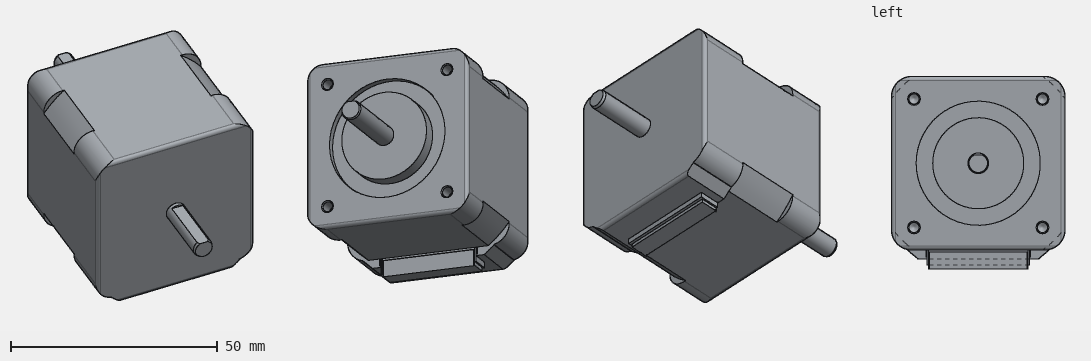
import cadquery as cq
import math


SHAFT_LENGTH = 80.0
SHAFT_DIAMETER = 5.0
FRONT_SHAFT_LENGTH = 24.0
FLAT_LENGTH = 15.0
FLAT_DEPTH = 0.5
FRONT_TIP_CHAMFER = 0.5
REAR_TIP_CHAMFER = 0.7
TIP_CHAMFER_RADIAL = 0.2

HOUSING_LENGTH = 40.0
HOUSING_WIDTH = 42.0
FRONT_CAP_LENGTH = 9.9
STATOR_LENGTH = 17.0
CAP_CORNER_RADIUS = 5.0
END_FILLET = 1.0
STATOR_CORNER_INSET = 5.4

BOSS_DIAMETER = 22.0
BOSS_HEIGHT = 2.0
RECESS_DIAMETER = 30.0
RECESS_DEPTH = 2.0

HOLE_SPACING = 31.0
HOLE_DIAMETER = 2.5
HOLE_RIM_DIAMETER = 3.0
HOLE_DEPTH = 4.5
DRILL_POINT_ANGLE = 118

FLANGE_DROP = 2.2
FLANGE_TOP_WIDTH = 34.2
FLANGE_BOTTOM_WIDTH = 29.0

CONNECTOR_DROP = 4.6
CONNECTOR_WIDTH = 24.0
CONNECTOR_LENGTH = 4.9
COLLAR_DROP = 3.6
COLLAR_WIDTH = 24.8
COLLAR_LENGTH = 5.6
COLLAR_SETBACK = 0.1
SOCKET_WIDTH = 23.4
SOCKET_TOP_DROP = 0.5
CLEARANCE_WIDTH = 25.4
CLEARANCE_DROP = 1.7
RELIEF_DEPTH = 0.2

SHAFT_FRONT = -SHAFT_LENGTH / 2
SHAFT_REAR = SHAFT_LENGTH / 2
HOUSING_FRONT = SHAFT_FRONT + FRONT_SHAFT_LENGTH
HOUSING_REAR = HOUSING_FRONT + HOUSING_LENGTH
STATOR_FRONT = HOUSING_FRONT + FRONT_CAP_LENGTH
STATOR_REAR = STATOR_FRONT + STATOR_LENGTH
HALF_WIDTH = HOUSING_WIDTH / 2


def section(x):
    """Workplane across the motor axis at x: local x is +Y, local y is +Z."""
    return cq.Workplane("YZ", origin=(x, 0, 0))


def cylinder(x_start, x_end, diameter):
    return section(x_start).circle(diameter / 2).extrude(x_end - x_start)


def bar(x_start, x_end, width, z_bottom, z_top):
    """Box centred on Y = 0."""
    size = (x_end - x_start, width, z_top - z_bottom)
    centred = (False, True, False)
    return cq.Workplane("XY", origin=(x_start, 0, z_bottom)).box(*size, centered=centred)


def square_prism(x_start, x_end):
    return section(x_start).rect(HOUSING_WIDTH, HOUSING_WIDTH).extrude(x_end - x_start)


def rounded_envelope(drop):
    """Housing envelope, lowered by drop, with its end edges rounded along Y and along Z."""
    bottom = -HALF_WIDTH - drop
    block = bar(HOUSING_FRONT, HOUSING_REAR, HOUSING_WIDTH, bottom, HALF_WIDTH)
    rounded_sides = block.edges("|Z").fillet(END_FILLET)
    rounded_top_and_bottom = block.edges("|Y").fillet(END_FILLET)
    return rounded_sides.intersect(rounded_top_and_bottom)


def cap(x_start, x_end):
    return square_prism(x_start, x_end).edges("|X").fillet(CAP_CORNER_RADIUS)


def make_front_cap():
    recess = cylinder(HOUSING_FRONT, HOUSING_FRONT + RECESS_DEPTH, RECESS_DIAMETER)
    body = cap(HOUSING_FRONT, STATOR_FRONT).intersect(rounded_envelope(0))
    body = body.cut(recess)
    for hole in make_mounting_holes():
        body = body.cut(hole)
    return body


def make_mounting_holes():
    """Blind drilled holes with a countersunk rim and a conical bottom."""
    radius = HOLE_DIAMETER / 2
    rim_radius = HOLE_RIM_DIAMETER / 2
    point_depth = radius / math.tan(math.radians(DRILL_POINT_ANGLE / 2))
    hole = (
        cq.Workplane("XY")
        .lineTo(0, rim_radius)
        .lineTo(rim_radius - radius, radius)
        .lineTo(HOLE_DEPTH, radius)
        .lineTo(HOLE_DEPTH + point_depth, 0)
        .close()
        .revolve(360, (0, 0, 0), (1, 0, 0))
    )
    offset = HOLE_SPACING / 2
    corners = [(y, z) for y in (-offset, offset) for z in (-offset, offset)]
    return [hole.translate((HOUSING_FRONT, y, z)) for y, z in corners]


def make_stator():
    """Square stack whose corners are turned to a circle about the motor axis."""
    turned_radius = math.hypot(HALF_WIDTH, HALF_WIDTH - STATOR_CORNER_INSET)
    turned = cylinder(STATOR_FRONT, STATOR_REAR, 2 * turned_radius)
    return square_prism(STATOR_FRONT, STATOR_REAR).intersect(turned)


def make_rear_cap():
    """Rear cap with a tapered flange below it, notched to seat the connector."""
    flange_root = -HALF_WIDTH + CAP_CORNER_RADIUS
    flange = (
        section(STATOR_REAR)
        .moveTo(-FLANGE_TOP_WIDTH / 2, -HALF_WIDTH)
        .lineTo(-FLANGE_BOTTOM_WIDTH / 2, -HALF_WIDTH - FLANGE_DROP)
        .lineTo(FLANGE_BOTTOM_WIDTH / 2, -HALF_WIDTH - FLANGE_DROP)
        .lineTo(FLANGE_TOP_WIDTH / 2, -HALF_WIDTH)
        .lineTo(FLANGE_TOP_WIDTH / 2, flange_root)
        .lineTo(-FLANGE_TOP_WIDTH / 2, flange_root)
        .close()
        .extrude(HOUSING_REAR - STATOR_REAR)
    )
    body = cap(STATOR_REAR, HOUSING_REAR).union(flange).intersect(rounded_envelope(FLANGE_DROP))
    clearance = connector_block(0, RELIEF_DEPTH, CLEARANCE_WIDTH, 0, CLEARANCE_DROP)
    connector_seat = connector_block(0, COLLAR_LENGTH, COLLAR_WIDTH, 0, COLLAR_DROP)
    return body.cut(clearance).cut(connector_seat)


def connector_block(start, end, width, top_drop, bottom_drop):
    """Bar placed by its distance behind the stator and its drops below the square housing."""
    return bar(
        STATOR_REAR + start, STATOR_REAR + end, width, -HALF_WIDTH - bottom_drop, -HALF_WIDTH - top_drop
    )


def make_connector():
    """Connector in a wider, shorter collar, with a shallow socket face open at the bottom."""
    collar = connector_block(COLLAR_SETBACK, COLLAR_LENGTH, COLLAR_WIDTH, 0, COLLAR_DROP)
    body = connector_block(0, CONNECTOR_LENGTH, CONNECTOR_WIDTH, 0, CONNECTOR_DROP)
    socket = connector_block(0, RELIEF_DEPTH, SOCKET_WIDTH, SOCKET_TOP_DROP, CONNECTOR_DROP)
    return collar.union(body).cut(socket)


def make_boss():
    return cylinder(HOUSING_FRONT - BOSS_HEIGHT, HOUSING_FRONT + RECESS_DEPTH, BOSS_DIAMETER)


def make_shaft():
    """Round shaft with coned tips and a flat on top of each end."""
    radius = SHAFT_DIAMETER / 2
    tip_radius = radius - TIP_CHAMFER_RADIAL
    profile = (
        cq.Workplane("XY")
        .moveTo(SHAFT_FRONT, 0)
        .lineTo(SHAFT_FRONT, tip_radius)
        .lineTo(SHAFT_FRONT + FRONT_TIP_CHAMFER, radius)
        .lineTo(SHAFT_REAR - REAR_TIP_CHAMFER, radius)
        .lineTo(SHAFT_REAR, tip_radius)
        .lineTo(SHAFT_REAR, 0)
        .close()
    )
    shaft = profile.revolve(360, (0, 0, 0), (1, 0, 0))
    for flat_start in (SHAFT_FRONT, SHAFT_REAR - FLAT_LENGTH):
        flat_end = flat_start + FLAT_LENGTH
        shaft = shaft.cut(bar(flat_start, flat_end, SHAFT_DIAMETER, radius - FLAT_DEPTH, radius))
    return shaft


result = (
    make_stator()
    .union(make_front_cap())
    .union(make_rear_cap())
    .union(make_connector())
    .union(make_boss())
    .union(make_shaft())
)